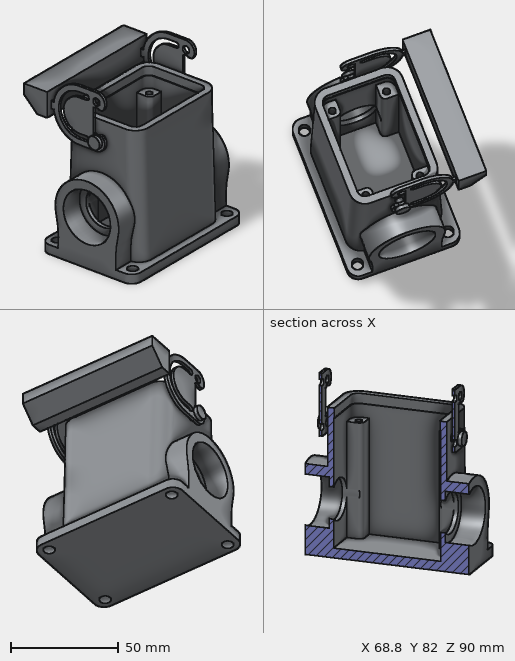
import cadquery as cq
import math

plate_length = 55.6
plate_width = 82.0
plate_height = 5.0
plate_corner_radius = 5.4
screw_hole_diameter = 5.5
screw_spacing_x = 45.0
screw_spacing_y = 70.0

box_base_length = 47.3
box_rim_length = 43.2
box_width = 59.9
box_corner_radius = 7.6
rim_height = 5.0
box_top = 73.8
rim_bottom = box_top - rim_height
rim_wall = 3.7
cavity_undercut = 0.45
mouth_length = box_rim_length - 2 * rim_wall
mouth_width = box_width - 2 * rim_wall
cavity_length = mouth_length + 2 * cavity_undercut
cavity_width = mouth_width + 2 * cavity_undercut

post_inner_x = 10.0
post_inner_y = 18.7
post_corner_radius = 2.5
post_top = 61.9
post_hole_diameter = 3.3
post_hole_depth = 10.0
post_hole_spacing_x = 27.0
post_hole_spacing_y = 44.1

entry_height = 27.0
entry_radius = 19.0
entry_flank_radius = 60.0
entry_flank_height = 10.0
entry_bore_diameter = 20.4
entry_recess_diameter = 28.2
entry_recess_depth = 12.0

lever_top = 90.0
lever_radius = 15.5
lever_height = lever_top - lever_radius
lever_arc_x = -10.1
lever_thickness = 1.5
lever_outer_y = 34.0
lever_inner_y = lever_outer_y - lever_thickness
tip_radius = 5.0
tip_offset = lever_radius - tip_radius
hook_gap_height = 13.7
hook_relief_radius = 2.0
hook_relief_offset = 5.6
channel_outer_radius = 12.4
channel_inner_radius = 9.45
channel_end_x = -4.4

overall_length = 68.8
bar_left = plate_length / 2 - overall_length
bar_right = -27.1
bar_bottom = 68.8
bar_top = 82.4
bar_width = 74.0
bar_bevel_x = 8.0
bar_bevel_z = 7.8
neck_height = 4.0

stud_diameter = 4.0
stud_head_diameter = 7.0
stud_head_end = 36.0
stud_height = lever_height - tip_offset


def cylinder_along_y(diameter, x, z, y_start, y_end):
    return (
        cq.Workplane("XZ", origin=(x, y_start, z))
        .circle(diameter / 2)
        .extrude(y_start - y_end)
    )


def block(x_start, x_end, y_start, y_end, z_start, z_end):
    return (
        cq.Workplane("XY", origin=(x_start, y_start, z_start))
        .box(x_end - x_start, y_end - y_start, z_end - z_start, centered=False)
    )


def make_box():
    """Solid box with round corners, tapered along X up to its straight rim."""
    base_x = box_base_length / 2
    rim_x = box_rim_length / 2
    return (
        cq.Workplane("XZ")
        .moveTo(-base_x, plate_height)
        .lineTo(-rim_x, rim_bottom)
        .lineTo(-rim_x, box_top)
        .lineTo(rim_x, box_top)
        .lineTo(rim_x, rim_bottom)
        .lineTo(base_x, plate_height)
        .close()
        .extrude(box_width / 2, both=True)
        .edges("not(|X or |Y)")
        .fillet(box_corner_radius)
    )


def cavity_part(length, width, corner_radius, bottom, top):
    return (
        cq.Workplane("XY", origin=(0, 0, bottom))
        .rect(length, width)
        .extrude(top - bottom)
        .edges("|Z")
        .fillet(corner_radius)
    )


def make_cavity():
    """Straight-sided cavity, a little narrower inside the rim, with the posts left standing in it."""
    mouth_radius = box_corner_radius - rim_wall
    mouth = cavity_part(mouth_length, mouth_width, mouth_radius, rim_bottom, box_top)
    lower = cavity_part(
        cavity_length, cavity_width, mouth_radius + cavity_undercut, plate_height, rim_bottom
    )
    return mouth.union(lower).cut(make_posts())


def make_mounting_plate():
    return (
        cq.Workplane("XY")
        .rect(plate_length, plate_width)
        .extrude(plate_height)
        .edges("|Z")
        .fillet(plate_corner_radius)
        .faces(">Z")
        .workplane()
        .rect(screw_spacing_x, screw_spacing_y, forConstruction=True)
        .vertices()
        .hole(screw_hole_diameter)
    )


def make_entries():
    """Round cable entries on flared feet; the flanks are arcs tangent to the round top."""
    rise = entry_height - entry_flank_height
    center_distance = entry_radius + entry_flank_radius
    flank_center_x = math.sqrt(center_distance**2 - rise**2)
    waist_x = flank_center_x - entry_flank_radius
    tangent_x = flank_center_x * entry_radius / center_distance
    tangent_z = entry_height - rise * entry_radius / center_distance
    foot_drop = entry_flank_height - plate_height
    foot_x = flank_center_x - math.sqrt(entry_flank_radius**2 - foot_drop**2)
    return (
        cq.Workplane("XZ")
        .moveTo(-foot_x, plate_height)
        .threePointArc((-waist_x, entry_flank_height), (-tangent_x, tangent_z))
        .threePointArc((0, entry_height + entry_radius), (tangent_x, tangent_z))
        .threePointArc((waist_x, entry_flank_height), (foot_x, plate_height))
        .close()
        .extrude(plate_width / 2, both=True)
    )


def make_posts():
    """Four posts that fill the corners of the cavity, each rounded on its free edge."""
    post = (
        block(post_inner_x, cavity_length / 2, post_inner_y, cavity_width / 2, plate_height, post_top)
        .edges("|Z and <X and <Y")
        .fillet(post_corner_radius)
    )
    posts = post.union(post.mirror("YZ"))
    return posts.union(posts.mirror("XZ"))


def make_post_holes():
    return (
        cq.Workplane("XY", origin=(0, 0, post_top))
        .rect(post_hole_spacing_x, post_hole_spacing_y, forConstruction=True)
        .vertices()
        .circle(post_hole_diameter / 2)
        .extrude(-post_hole_depth)
    )


def make_entry_bore():
    """Bore through both entries, with a wider recess at each mouth."""
    outer = plate_width / 2
    recess_end = outer - entry_recess_depth
    bore = cylinder_along_y(entry_bore_diameter, 0, entry_height, -outer, outer)
    recess = cylinder_along_y(entry_recess_diameter, 0, entry_height, recess_end, outer)
    return bore.union(recess).union(recess.mirror("XZ"))


def make_studs():
    root_y = (box_width - rim_wall) / 2
    shank = cylinder_along_y(stud_diameter, 0, stud_height, root_y, lever_outer_y)
    head = cylinder_along_y(stud_head_diameter, 0, stud_height, lever_outer_y, stud_head_end)
    stud = shank.union(head)
    return stud.union(stud.mirror("XZ"))


def make_housing():
    return (
        make_mounting_plate()
        .union(make_entries())
        .union(make_box())
        .cut(make_cavity())
        .cut(make_post_holes())
        .cut(make_entry_bore())
        .union(make_studs())
    )


def make_channel():
    """C-shaped slot with round ends that follows the round back of the lever."""
    end_radius = (channel_outer_radius - channel_inner_radius) / 2
    middle_radius = (channel_outer_radius + channel_inner_radius) / 2
    end_center_x = channel_end_x - end_radius
    return (
        cq.Workplane("XZ", origin=(0, lever_inner_y, lever_height))
        .moveTo(lever_arc_x, channel_outer_radius)
        .lineTo(end_center_x, channel_outer_radius)
        .threePointArc((channel_end_x, middle_radius), (end_center_x, channel_inner_radius))
        .lineTo(lever_arc_x, channel_inner_radius)
        .threePointArc((lever_arc_x - channel_inner_radius, 0), (lever_arc_x, -channel_inner_radius))
        .lineTo(end_center_x, -channel_inner_radius)
        .threePointArc((channel_end_x, -middle_radius), (end_center_x, -channel_outer_radius))
        .lineTo(lever_arc_x, -channel_outer_radius)
        .threePointArc((lever_arc_x - channel_outer_radius, 0), (lever_arc_x, channel_outer_radius))
        .close()
        .extrude(-lever_thickness)
    )


def lever_strip(x_start, x_end, height):
    """Block as thick as a side plate, centred on the middle height of the lever."""
    z_start = lever_height - height / 2
    return block(x_start, x_end, lever_inner_y, lever_outer_y, z_start, z_start + height)


def make_side_plate():
    """Side plate on the +Y side: round back, a hooked tip at top and bottom, and a neck to the bar."""
    y_range = (lever_inner_y, lever_outer_y)
    disc = cylinder_along_y(2 * lever_radius, lever_arc_x, lever_height, *y_range)
    back = disc.intersect(lever_strip(lever_arc_x - lever_radius, lever_arc_x, 2 * lever_radius))
    middle = lever_strip(lever_arc_x, 0, 2 * lever_radius)
    neck = lever_strip(bar_right, lever_arc_x, neck_height)
    hook_gap = lever_strip(-hook_relief_radius, tip_radius, hook_gap_height)
    plate = back.union(middle).union(neck)
    for side in (-1, 1):
        tip_z = lever_height + side * tip_offset
        plate = plate.union(cylinder_along_y(2 * tip_radius, 0, tip_z, *y_range))
    plate = plate.cut(hook_gap).cut(make_channel())
    for side in (-1, 1):
        tip_z = lever_height + side * tip_offset
        relief_z = lever_height + side * hook_relief_offset
        plate = plate.cut(cylinder_along_y(stud_diameter, 0, tip_z, *y_range))
        plate = plate.cut(cylinder_along_y(2 * hook_relief_radius, 0, relief_z, *y_range))
    return plate


def make_bar():
    return (
        cq.Workplane("XZ")
        .moveTo(bar_left, bar_top)
        .lineTo(bar_right, bar_top)
        .lineTo(bar_right, bar_bottom)
        .lineTo(bar_left + bar_bevel_x, bar_bottom)
        .lineTo(bar_left, bar_bottom + bar_bevel_z)
        .close()
        .extrude(bar_width / 2, both=True)
    )


def make_lever():
    side_plate = make_side_plate()
    return make_bar().union(side_plate).union(side_plate.mirror("XZ"))


housing = make_housing()
lever = make_lever()
result = cq.Compound.makeCompound([housing.solids().val(), lever.solids().val()])